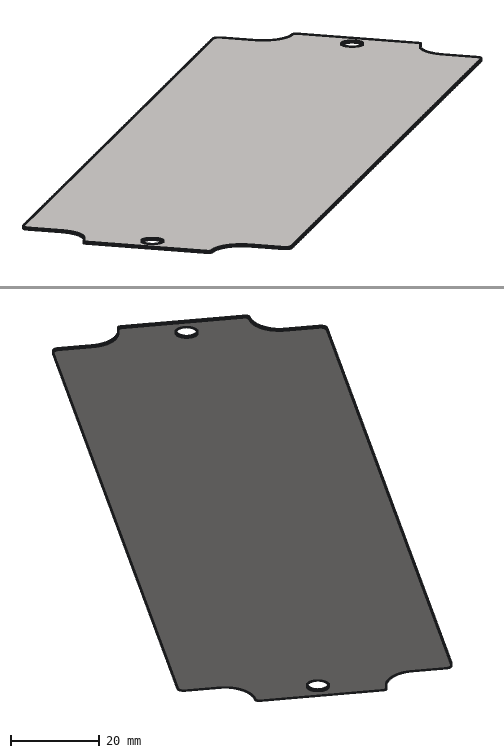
import cadquery as cq

width = 63.0
length = 178.5
thickness = 0.5

tab_width = 30.2
tab_length = 7.7

shoulder_radius = 7.0
plate_corner_radius = 1.5
tab_corner_radius = 0.9

hole_diameter = 5.0
hole_edge_distance = 4.6

body_length = length - 2 * tab_length
hole_offset = length / 2 - hole_edge_distance


def corner_points(across, along):
    """The four mirrored places at the given full spacings."""
    return [(sx * across / 2, sy * along / 2) for sx in (-1, 1) for sy in (-1, 1)]


def round_corners(plate, across, along, radius):
    """Round the four vertical edges that stand at the given spacings."""
    for x, y in corner_points(across, along):
        edge = cq.selectors.NearestToPointSelector((x, y, thickness / 2))
        plate = plate.edges("|Z").edges(edge).fillet(radius)
    return plate


body = cq.Workplane("XY").rect(width, body_length).extrude(thickness)
tab_strip = cq.Workplane("XY").rect(tab_width, length).extrude(thickness)
plate = body.union(tab_strip)

plate = round_corners(plate, tab_width, body_length, shoulder_radius)
plate = round_corners(plate, width, body_length, plate_corner_radius)
plate = round_corners(plate, tab_width, length, tab_corner_radius)

holes = (
    cq.Workplane("XY")
    .pushPoints([(0, -hole_offset), (0, hole_offset)])
    .circle(hole_diameter / 2)
    .extrude(thickness)
)

result = plate.cut(holes)